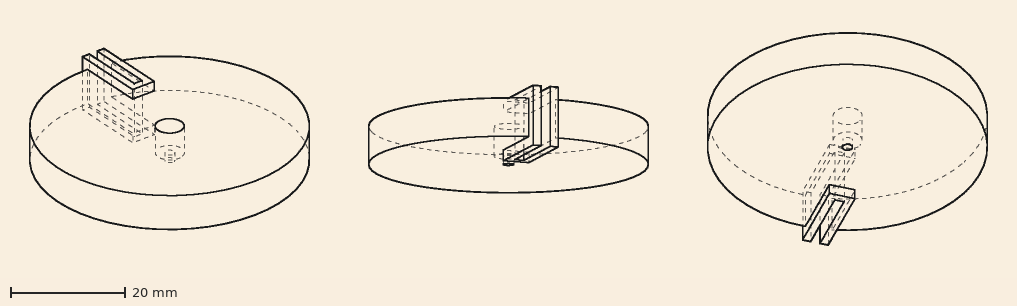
import cadquery as cq

disk_diameter = 49.0
disk_height = 6.85

bore_diameter = 5.1
pin_hole_diameter = 1.75
bore_floor = 1.5
bore_depth = disk_height - bore_floor

guide_length = 14.55
guide_height = 10.7
guide_wall = 1.5
slot_width = 1.7
guide_width = slot_width + 2 * guide_wall
overall_length = 50.45
guide_outer_x = disk_diameter / 2 - overall_length
guide_center_y = 2.95


def block_from_guide_mouth(length, width):
    """Full-height block running inward from the open end of the guide."""
    return (
        cq.Workplane("XY")
        .box(length, width, guide_height, centered=(False, True, True))
        .translate((guide_outer_x, guide_center_y, 0))
    )


disk = cq.Workplane("XY").cylinder(disk_height, disk_diameter / 2)
disk = disk.faces(">Z").workplane().cboreHole(pin_hole_diameter, bore_diameter, bore_depth)

guide = block_from_guide_mouth(guide_length, guide_width)
slot = block_from_guide_mouth(guide_length - guide_wall, slot_width)

result = disk.union(guide).cut(slot)